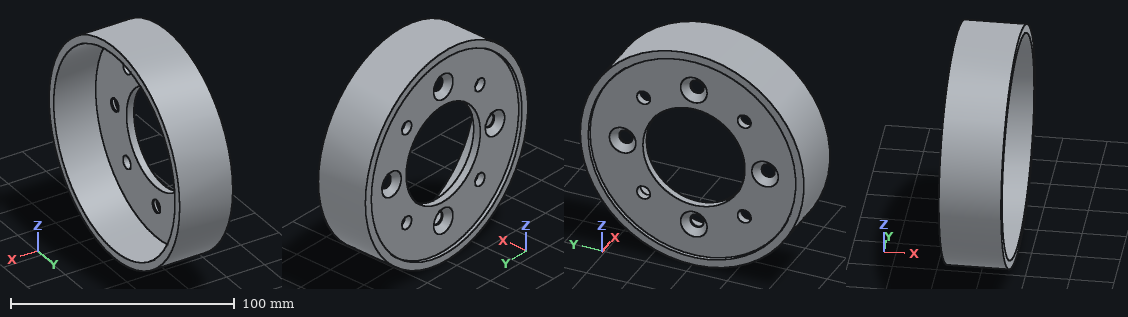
import cadquery as cq

outer_diameter = 110.0
width = 28.0
rim_inner_diameter = 102.0

recess_depth = 2.0
web_thickness = 4.0
bore_diameter = 50.0

hole_circle_diameter = 70.0
hole_diameter = 6.5
countersink_diameter = 13.0
countersink_angle = 90
holes_per_set = 4
plain_hole_offset_angle = 45

front_x = -width / 2
web_front_x = front_x + recess_depth


def plane_at(x):
    """YZ plane at the given X."""
    return cq.Workplane("YZ", origin=(x, 0, 0))


def hole_centres(web, start_angle):
    """Hole centres on the front face of the web, with drilling toward +X."""
    front_plane = cq.Plane(origin=(web_front_x, 0, 0), xDir=(0, -1, 0), normal=(-1, 0, 0))
    return (
        cq.Workplane(front_plane)
        .add(web)
        .polarArray(hole_circle_diameter / 2, start_angle, 360, holes_per_set)
    )


rim = (
    plane_at(front_x)
    .circle(outer_diameter / 2)
    .circle(rim_inner_diameter / 2)
    .extrude(width)
)

web = (
    plane_at(web_front_x)
    .circle(outer_diameter / 2)
    .circle(bore_diameter / 2)
    .extrude(web_thickness)
)
web = hole_centres(web, 0).cskHole(hole_diameter, countersink_diameter, countersink_angle)
web = hole_centres(web, plain_hole_offset_angle).hole(hole_diameter)

result = rim.union(web)